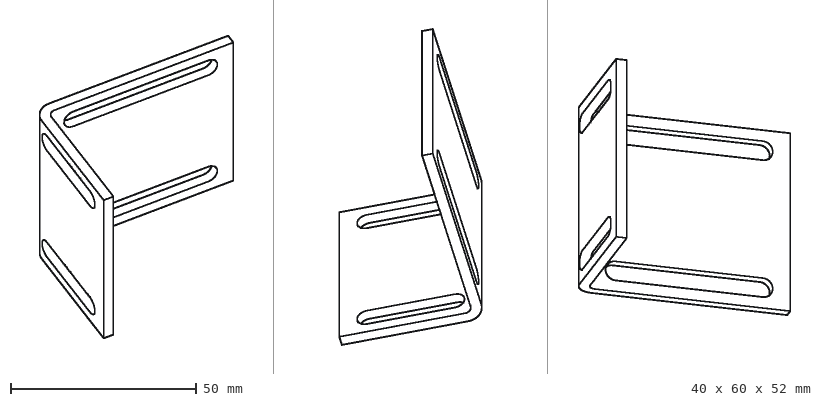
import cadquery as cq

width = 40.0
depth = 60.0
height = 52.0

thickness = 3.0
bend_outer_radius = 5.0
bend_inner_radius = bend_outer_radius - thickness

slot_width = 5.5
slot_spacing = 40.0
slot_end_margin = 5.0
front_slot_length = 29.9
side_slot_length = 47.05


def angle_sheet():
    """L-shaped sheet, bend at the origin corner, centred on Z = 0."""
    blank = cq.Workplane("XY").box(width, depth, height, centered=(False, False, True))
    inside = (
        cq.Workplane("XY")
        .box(width, depth, height, centered=(False, False, True))
        .translate((thickness, thickness, 0))
        .edges("|Z and <X and <Y")
        .fillet(bend_inner_radius)
    )
    return blank.edges("|Z and <X and <Y").fillet(bend_outer_radius).cut(inside)


def slot_pair(plane, free_edge, length):
    """Cutters for two slots whose outer ends lie near the flange's free edge."""
    centre = free_edge - slot_end_margin - length / 2
    offset = slot_spacing / 2
    return (
        cq.Workplane(plane)
        .pushPoints([(centre, -offset), (centre, offset)])
        .slot2D(length, slot_width)
        .extrude(thickness, both=True)
    )


front_slots = slot_pair("XZ", width, front_slot_length)
side_slots = slot_pair("YZ", depth, side_slot_length)

result = angle_sheet().cut(front_slots).cut(side_slots)